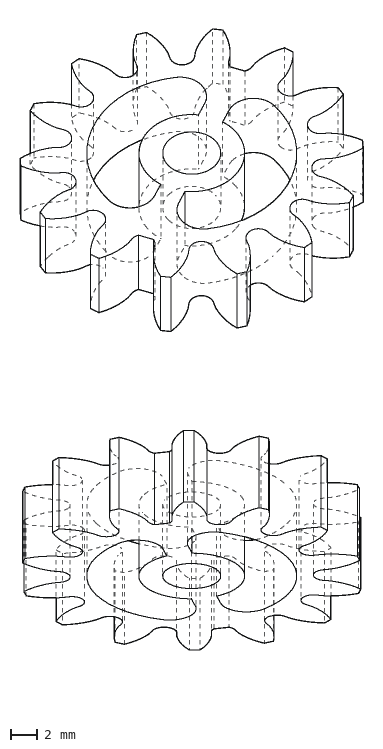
import cadquery as cq
import math

tip_diameter = 26.0
thickness = 6.0
tooth_count = 14
pitch_angle = 360 / tooth_count

tip_half_width = 0.4
flank_middle_radius = 11.75
flank_middle_half_width = 1.05
flank_start_radius = 10.48
flank_start_half_width = 1.33
root_radius = 9.2
gap_end_radius = 9.88
gap_end_half_width = 0.9

floor_height = 9.4
floor_half_width = 0.78

bore_diameter = 4.4
hub_diameter = 8.0
window_diameter = 15.9
spoke_width = 1.98
window_fillet = 2.0


def rotate_point(x, y, angle):
    """Turn a point about the gear axis by an angle in degrees."""
    turn = math.radians(angle)
    return (
        x * math.cos(turn) - y * math.sin(turn),
        x * math.sin(turn) + y * math.cos(turn),
    )


def make_toothed_disc():
    """Extrude the closed outline made of tooth tips, flanks and rounded gaps."""
    tip_radius = tip_diameter / 2
    outline = cq.Workplane("XY").moveTo(tip_radius, -tip_half_width)
    for tooth in range(tooth_count):
        tooth_angle = tooth * pitch_angle
        gap_angle = tooth_angle + pitch_angle / 2
        next_angle = tooth_angle + pitch_angle
        outline = (
            outline.lineTo(*rotate_point(tip_radius, tip_half_width, tooth_angle))
            .threePointArc(
                rotate_point(flank_middle_radius, flank_middle_half_width, tooth_angle),
                rotate_point(flank_start_radius, flank_start_half_width, tooth_angle),
            )
            .lineTo(*rotate_point(gap_end_radius, -gap_end_half_width, gap_angle))
            .threePointArc(
                rotate_point(root_radius, 0, gap_angle),
                rotate_point(gap_end_radius, gap_end_half_width, gap_angle),
            )
            .lineTo(*rotate_point(flank_start_radius, -flank_start_half_width, next_angle))
            .threePointArc(
                rotate_point(flank_middle_radius, -flank_middle_half_width, next_angle),
                rotate_point(tip_radius, -tip_half_width, next_angle),
            )
        )
    return outline.close().extrude(thickness)


def make_gap_floors():
    """Blocks that raise the gaps on the Y axis to a flat floor."""
    block_height = floor_height - window_diameter / 2
    block_center = floor_height - block_height / 2
    return (
        cq.Workplane("XY")
        .pushPoints([(0, block_center), (0, -block_center)])
        .rect(2 * floor_half_width, block_height)
        .extrude(thickness)
    )


def make_windows():
    """Two D-shaped openings between the rim, the spokes and the hub."""
    openings = cq.Workplane("XY").circle(window_diameter / 2).extrude(thickness)
    spokes = cq.Workplane("XY").rect(spoke_width, window_diameter).extrude(thickness)
    hub = cq.Workplane("XY").circle(hub_diameter / 2).extrude(thickness)
    return openings.cut(spokes).edges("|Z").fillet(window_fillet).cut(hub)


bore = cq.Workplane("XY").circle(bore_diameter / 2).extrude(thickness)
result = make_toothed_disc().union(make_gap_floors()).cut(make_windows()).cut(bore)